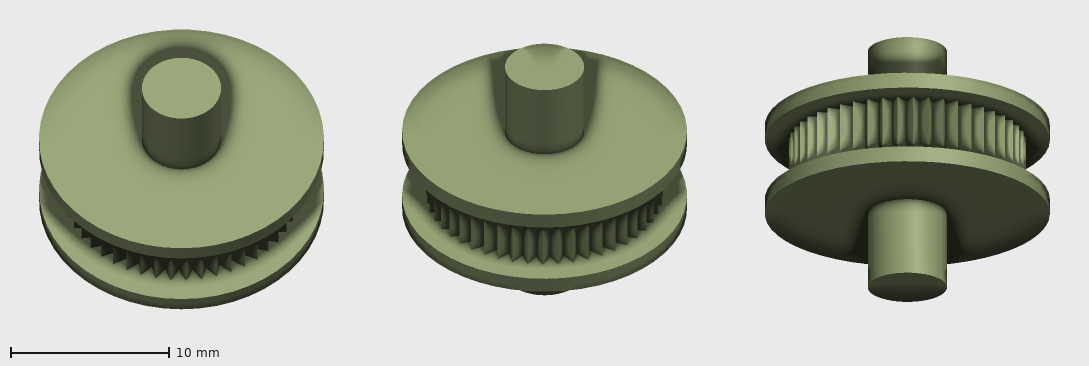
import cadquery as cq
import math

shaft_diameter = 5.0
shaft_length = 16.0

flange_diameter = 18.0
flange_thickness = 1.0
flange_gap = 4.0

tooth_count = 48
tip_radius = 7.49
root_radius = 6.65
tooth_pitch_angle = 2 * math.pi / tooth_count


def cylinder(diameter, bottom_z, height):
    return (
        cq.Workplane("XY")
        .workplane(offset=bottom_z)
        .circle(diameter / 2)
        .extrude(height)
    )


def polar_point(radius, angle):
    return (radius * math.cos(angle), radius * math.sin(angle))


def toothed_rim():
    """Sharp teeth filling the gap, with a root on each of the X and Y axes."""
    outline = []
    for tooth in range(tooth_count):
        root_angle = tooth * tooth_pitch_angle
        tip_angle = root_angle + tooth_pitch_angle / 2
        outline.append(polar_point(root_radius, root_angle))
        outline.append(polar_point(tip_radius, tip_angle))
    return cq.Workplane("XY").polyline(outline).close().extrude(flange_gap / 2, both=True)


shaft = cylinder(shaft_diameter, -shaft_length / 2, shaft_length)
upper_flange = cylinder(flange_diameter, flange_gap / 2, flange_thickness)
lower_flange = cylinder(flange_diameter, -flange_gap / 2 - flange_thickness, flange_thickness)

result = toothed_rim().union(upper_flange).union(lower_flange).union(shaft)